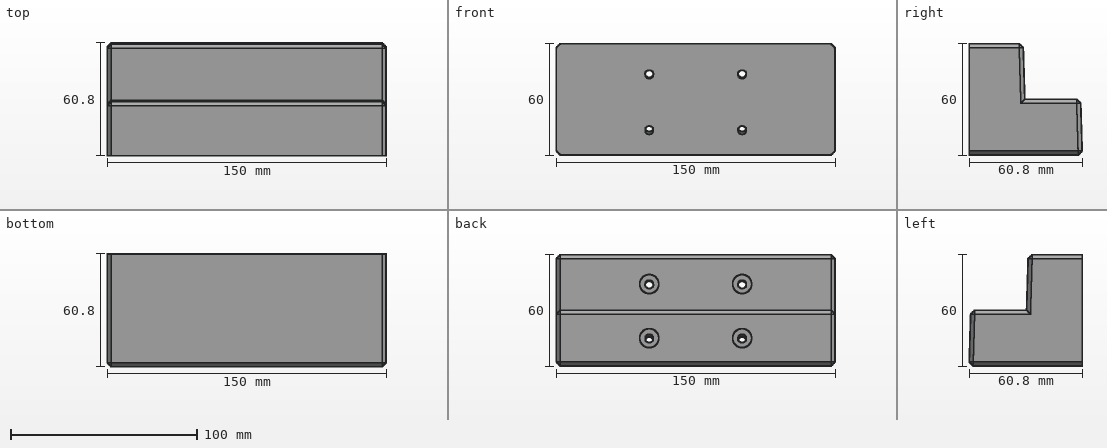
import cadquery as cq
import math

length = 150.0
height = 60.0
step_height = 30.2
chamfer = 2.2

draft_angle = 1.7
draft = math.tan(math.radians(draft_angle))
lower_base_depth = 60.9
upper_base_depth = 30.0

hole_diameter = 4.5
head_diameter = 10.2
head_depth = 6.0
hole_spacing_x = 50.0
hole_heights = (13.4, 43.4)


def stepped_block():
    """L-shaped prism with every outer edge chamfered except around the mounting face."""
    lower_top_depth = lower_base_depth - step_height * draft
    upper_top_depth = upper_base_depth - (height - step_height) * draft
    block = (
        cq.Workplane("YZ")
        .moveTo(0, 0)
        .lineTo(lower_base_depth, 0)
        .lineTo(lower_top_depth, step_height)
        .lineTo(upper_base_depth, step_height)
        .lineTo(upper_top_depth, height)
        .lineTo(0, height)
        .close()
        .extrude(length / 2, both=True)
    )
    inner_corner = cq.selectors.NearestToPointSelector((0, upper_base_depth, step_height))
    clear_of_front = cq.selectors.StringSyntaxSelector("not <Y")
    outer_edges = cq.selectors.SubtractSelector(clear_of_front, inner_corner)
    return block.edges(outer_edges).chamfer(chamfer)


def screw_hole(x, entry_height, rear_depth):
    """Through hole with a flat-bottomed head recess sunk into the rear face."""
    angle = math.radians(draft_angle)
    direction = cq.Vector(0, math.cos(angle), math.sin(angle))
    entry = cq.Vector(x, 0, entry_height)
    face_distance = (rear_depth - entry_height * draft) * math.cos(angle)
    overrun = head_diameter
    shank = cq.Solid.makeCylinder(
        hole_diameter / 2, face_distance + 2 * overrun, entry - direction * overrun, direction
    )
    head_floor = entry + direction * (face_distance - head_depth)
    head = cq.Solid.makeCylinder(head_diameter / 2, head_depth + overrun, head_floor, direction)
    return shank.fuse(head)


upper_rear_depth = upper_base_depth + step_height * draft
rear_depths = (lower_base_depth, upper_rear_depth)

result = stepped_block()
for x in (-hole_spacing_x / 2, hole_spacing_x / 2):
    for entry_height, rear_depth in zip(hole_heights, rear_depths):
        result = result.cut(cq.Workplane(obj=screw_hole(x, entry_height, rear_depth)))